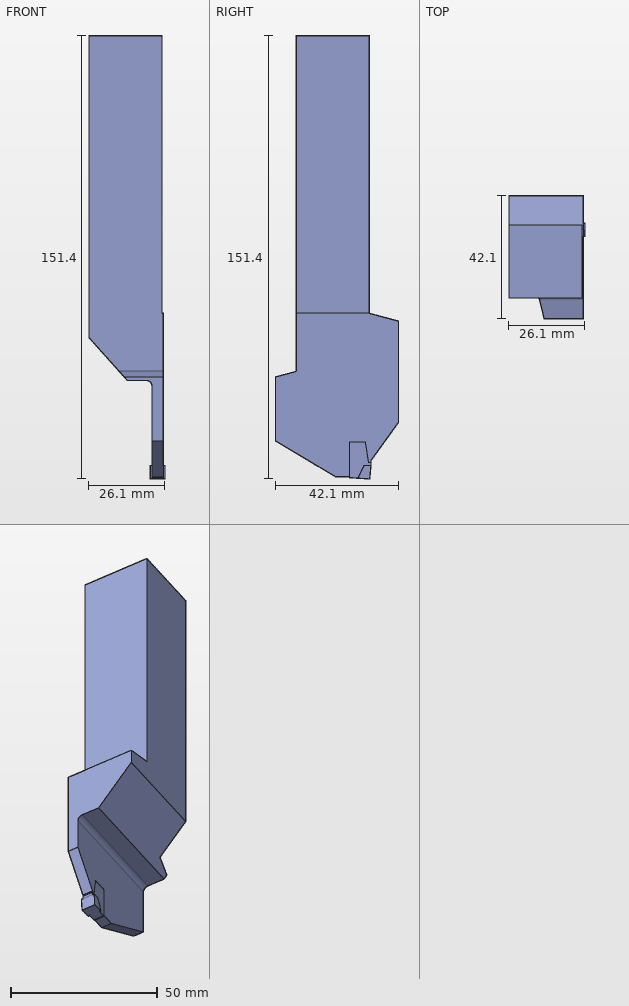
import cadquery as cq
import math

total_height = 151.4
shank_size = 25.0
shoulder_slope = math.tan(math.radians(15))

head_width = 25.5
head_back = 35.0
head_front = -7.1
back_shoulder_z = 56.6
front_shoulder_z = 36.8
shoulder_fillet = 0.5

taper_top_z = 48.3
taper_end_x = 13.2
taper_end_z = 33.6
blade_thickness = 4.0
blade_left = head_width - blade_thickness
blade_fillet = 1.8

back_corner_z = 19.4
front_corner_z = 13.0
blade_bottom_z = 0.8
blade_bottom_front = 13.5
jaw_tip_y = 25.6
jaw_tip_z = 6.4

insert_front = 18.2
insert_bottom_z = 0.5
insert_top_y = 23.6
insert_top_z = 12.7
insert_neck_y = 24.7
insert_neck_z = 5.8
rake_tip_z = 4.7
cutting_tip_y = 25.1
insert_side_overhang = 0.6
insert_edge_left = blade_left - insert_side_overhang
insert_edge_width = blade_thickness + 2 * insert_side_overhang
edge_top_front_y = 23.2
edge_bottom_front_y = 21.0


def extrude_along_x(outline, start_x, width):
    """Extrude a closed (Y, Z) outline along +X from start_x."""
    return cq.Workplane("YZ", origin=(start_x, 0, 0)).polyline(outline).close().extrude(width)


def bottom_z(y):
    """Height of the insert's relief face, falling from its front corner to the cutting tip."""
    return insert_bottom_z * (cutting_tip_y - y) / (cutting_tip_y - insert_front)


def make_insert():
    body = extrude_along_x(
        [
            (insert_front, insert_bottom_z),
            (insert_front, insert_top_z),
            (insert_top_y, insert_top_z),
            (insert_neck_y, insert_neck_z),
            (jaw_tip_y, insert_neck_z),
            (jaw_tip_y, rake_tip_z),
            (cutting_tip_y, 0),
        ],
        blade_left,
        blade_thickness,
    )
    wide_edge = extrude_along_x(
        [
            (edge_top_front_y, rake_tip_z),
            (jaw_tip_y, rake_tip_z),
            (cutting_tip_y, 0),
            (edge_bottom_front_y, bottom_z(edge_bottom_front_y)),
        ],
        insert_edge_left,
        insert_edge_width,
    )
    return body.union(wide_edge)


def make_head():
    """Shouldered head, pointed towards the insert."""
    head = extrude_along_x(
        [
            (0, back_shoulder_z),
            (shank_size, back_shoulder_z),
            (head_back, back_shoulder_z - (head_back - shank_size) * shoulder_slope),
            (head_back, back_corner_z),
            (jaw_tip_y, jaw_tip_z),
            (jaw_tip_y, insert_neck_z),
            (insert_neck_y, insert_neck_z),
            (insert_front, blade_bottom_z),
            (blade_bottom_front, blade_bottom_z),
            (head_front, front_corner_z),
            (head_front, front_shoulder_z + head_front * shoulder_slope),
            (0, front_shoulder_z),
        ],
        0,
        head_width,
    )
    shoulder_corner = cq.selectors.NearestToPointSelector((head_width / 2, 0, front_shoulder_z))
    return head.edges(shoulder_corner).fillet(shoulder_fillet)


def make_taper_cut():
    """Material removed on the left to leave the taper and the thin blade."""
    arc_inset = blade_fillet * (1 - math.sqrt(0.5))
    return (
        cq.Workplane("XZ", origin=(0, head_back, 0))
        .moveTo(0, 0)
        .lineTo(0, taper_top_z)
        .lineTo(taper_end_x, taper_end_z)
        .lineTo(blade_left - blade_fillet, taper_end_z)
        .threePointArc(
            (blade_left - arc_inset, taper_end_z - arc_inset),
            (blade_left, taper_end_z - blade_fillet),
        )
        .lineTo(blade_left, 0)
        .close()
        .extrude(head_back - head_front)
    )


def make_holder(insert):
    shank = cq.Workplane("XY", origin=(0, 0, taper_top_z)).box(
        shank_size, shank_size, total_height - taper_top_z, centered=False
    )
    return make_head().union(shank).cut(make_taper_cut()).cut(insert)


insert = make_insert()
holder = make_holder(insert)

result = cq.Compound.makeCompound([*holder.solids().vals(), *insert.solids().vals()])